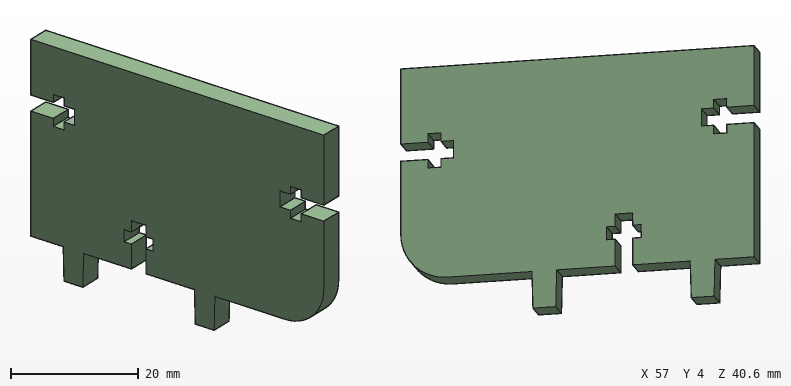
import cadquery as cq

plate_length = 57.03
plate_thickness = 4.0
overall_height = 40.57
corner_radius = 7.5

tab_length = 6.0
tab_root_width = 4.0
tab_tip_width = 3.7
tab_centers = (8.3, 33.85)

plate_height = overall_height - tab_length

screw_width = 2.8
screw_depth = 8.5
nut_width = 5.6
nut_thickness = 2.1
nut_offset = 4.4

left_slot_drop = 11.2
right_slot_drop = 13.7
bottom_slot_x = 21.0


def make_plate():
    plate = cq.Workplane("XY").box(plate_length, plate_thickness, plate_height, centered=False)
    return plate.edges("|Y and >X and <Z").fillet(corner_radius)


def make_tab(center_x):
    half_root = tab_root_width / 2
    half_tip = tab_tip_width / 2
    outline = [
        (center_x - half_root, 0),
        (center_x - half_tip, -tab_length),
        (center_x + half_tip, -tab_length),
        (center_x + half_root, 0),
    ]
    return cq.Workplane("XZ").polyline(outline).close().extrude(-plate_thickness)


def make_slot_cutter(edge_x, edge_z, turn):
    """Cross-shaped cutter running up from the origin, turned about Y and moved to the edge point."""
    channel = cq.Workplane("XY").box(
        screw_width, plate_thickness, screw_depth, centered=(True, False, False)
    )
    pocket = cq.Workplane("XY").box(
        nut_width, plate_thickness, nut_thickness, centered=(True, False, False)
    )
    cutter = channel.union(pocket.translate((0, 0, nut_offset)))
    return cutter.rotate((0, 0, 0), (0, 1, 0), turn).translate((edge_x, 0, edge_z))


result = make_plate()

for tab_x in tab_centers:
    result = result.union(make_tab(tab_x))

slots = (
    (0, plate_height - left_slot_drop, 90),
    (plate_length, plate_height - right_slot_drop, -90),
    (bottom_slot_x, 0, 0),
)
for slot_x, slot_z, slot_turn in slots:
    result = result.cut(make_slot_cutter(slot_x, slot_z, slot_turn))